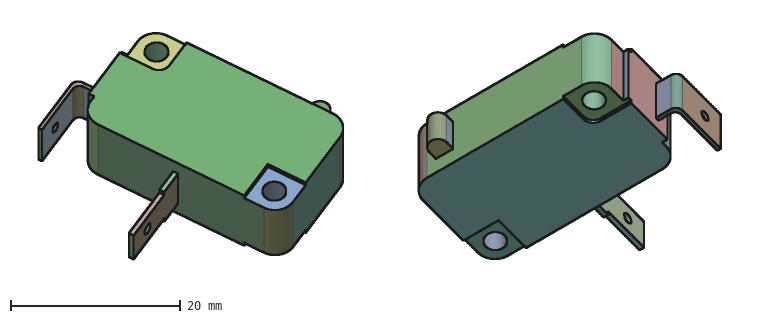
import cadquery as cq


case_length = 27.93
case_width = 15.75
case_height = 9.9
corner_radius = 2.52

pad_depth = 0.75
pad_y_min = 3.3
pad_y_max = 10.9

mount_diameter = 2.8
mount_inset = 2.7
recess_depth = 0.5
recess_length = 5.23
recess_width = 5.4
recess_corner_radius = 1.47

plunger_x = 22.83
plunger_width = 2.55
plunger_height = 4.88
plunger_reach = 2.55

blade_x_min = 12.9
blade_thickness = 0.67
blade_reach = 10.15
blade_height = 4.72
shoulder_reach = 3.15
shoulder_height = 5.85
blade_hole_diameter = 1.4
blade_hole_reach = 6.95

bent_thickness = 0.5
bent_height = 6.22
bent_reach = 3.2
bent_y_max = 5.55
bent_y_min = -2.9
bend_outer_radius = 1.0
bend_inner_radius = 0.92
bent_hole_diameter = 1.28
bent_hole_y = 0.15

overlap = 0.32


def box(x_min, x_max, y_min, y_max, height, z_mid=0):
    """Box between X and Y limits, centred on z_mid."""
    return cq.Workplane("XY").box(x_max - x_min, y_max - y_min, height).translate(
        ((x_min + x_max) / 2, (y_min + y_max) / 2, z_mid)
    )


def hole_along_x(diameter, x_min, x_max, y):
    """Round cutter along X at mid height."""
    return (
        cq.Workplane("YZ", origin=(x_min, y, 0))
        .circle(diameter / 2)
        .extrude(x_max - x_min)
    )


def make_case():
    body = box(0, case_length, 0, case_width, case_height).edges("|Z").fillet(corner_radius)
    pad = box(-pad_depth, corner_radius, pad_y_min, pad_y_max, case_height)
    body = body.union(pad)

    for side in (1, -1):
        z_mid = side * (case_height - recess_depth) / 2
        rear_recess = box(
            -pad_depth, recess_length, case_width - recess_width, case_width, recess_depth, z_mid
        )
        rear_recess = rear_recess.edges("|Z and >X and <Y").fillet(recess_corner_radius)
        front_recess = box(
            case_length - recess_length, case_length, 0, recess_width, recess_depth, z_mid
        )
        body = body.cut(rear_recess).cut(front_recess)

    mount_points = [
        (mount_inset, case_width - mount_inset),
        (case_length - mount_inset, mount_inset),
    ]
    holes = (
        cq.Workplane("XY", origin=(0, 0, -case_height / 2))
        .pushPoints(mount_points)
        .circle(mount_diameter / 2)
        .extrude(case_height)
    )
    return body.cut(holes)


def make_plunger():
    tip_radius = plunger_width / 2
    x_min = plunger_x - tip_radius
    x_max = plunger_x + tip_radius
    y_tip = case_width + plunger_reach
    y_shoulder = y_tip - tip_radius
    return (
        cq.Workplane("XY", origin=(0, 0, -plunger_height / 2))
        .moveTo(x_min, case_width - overlap)
        .lineTo(x_max, case_width - overlap)
        .lineTo(x_max, y_shoulder)
        .threePointArc((plunger_x, y_tip), (x_min, y_shoulder))
        .close()
        .extrude(plunger_height)
    )


def make_straight_terminal():
    x_max = blade_x_min + blade_thickness
    shoulder = box(blade_x_min, x_max, -shoulder_reach, overlap, shoulder_height)
    blade = box(blade_x_min, x_max, -blade_reach, overlap, blade_height)
    hole = hole_along_x(blade_hole_diameter, blade_x_min, x_max, -blade_hole_reach)
    return shoulder.union(blade).cut(hole)


def make_bent_terminal():
    x_outer = -pad_depth - bent_reach
    x_inner = x_outer + bent_thickness
    x_root = -pad_depth + overlap
    y_inner = bent_y_max - bent_thickness
    strip = (
        cq.Workplane("XY", origin=(0, 0, -bent_height / 2))
        .moveTo(x_root, bent_y_max)
        .lineTo(x_outer + bend_outer_radius, bent_y_max)
        .radiusArc((x_outer, bent_y_max - bend_outer_radius), -bend_outer_radius)
        .lineTo(x_outer, bent_y_min)
        .lineTo(x_inner, bent_y_min)
        .lineTo(x_inner, y_inner - bend_inner_radius)
        .radiusArc((x_inner + bend_inner_radius, y_inner), bend_inner_radius)
        .lineTo(x_root, y_inner)
        .close()
        .extrude(bent_height)
    )
    return strip.cut(hole_along_x(bent_hole_diameter, x_outer, x_inner, bent_hole_y))


result = (
    make_case()
    .union(make_plunger())
    .union(make_straight_terminal())
    .union(make_bent_terminal())
)